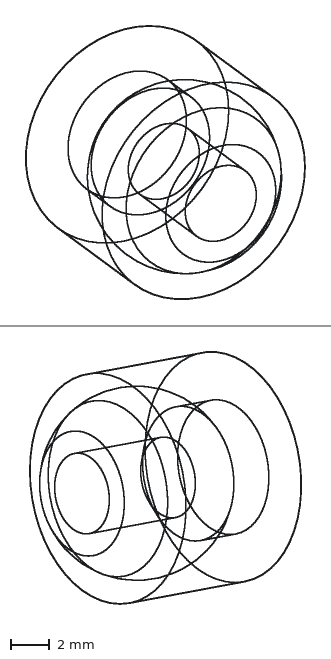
import cadquery as cq
import math

HOUSING_RADIUS = 6.0
HOUSING_LENGTH = 8.0
BORE_RADIUS = 3.5
BALL_RADIUS = 5.0
BALL_CENTRE_X = 6.0
BALL_NOSE_X = 9.8
HOLE_RADIUS = 2.1
COUNTERSINK_HALF_ANGLE = 45.0

AXIS_START = (0, 0)
AXIS_END = (1, 0)


def axial_reach(radius):
    """Distance along X from the ball centre to its circle of the given radius."""
    return math.sqrt(BALL_RADIUS**2 - radius**2)


seat_start_x = BALL_CENTRE_X - axial_reach(BORE_RADIUS)
seat_mouth_radius = axial_reach(HOUSING_LENGTH - BALL_CENTRE_X)
nose_radius = axial_reach(BALL_NOSE_X - BALL_CENTRE_X)
ball_top = (BALL_CENTRE_X, BALL_RADIUS)


def make_housing():
    """Cylindrical sleeve with a back bore that opens into a spherical seat."""
    profile = (
        cq.Workplane("XY")
        .moveTo(0, BORE_RADIUS)
        .lineTo(seat_start_x, BORE_RADIUS)
        .threePointArc(ball_top, (HOUSING_LENGTH, seat_mouth_radius))
        .lineTo(HOUSING_LENGTH, HOUSING_RADIUS)
        .lineTo(0, HOUSING_RADIUS)
        .close()
    )
    return profile.revolve(360, AXIS_START, AXIS_END)


def make_ball():
    """Ball with a flat nose, a through hole and a countersink facing the bore."""
    countersink_depth = (BORE_RADIUS - HOLE_RADIUS) / math.tan(math.radians(COUNTERSINK_HALF_ANGLE))
    profile = (
        cq.Workplane("XY")
        .moveTo(seat_start_x, BORE_RADIUS)
        .threePointArc(ball_top, (BALL_NOSE_X, nose_radius))
        .lineTo(BALL_NOSE_X, HOLE_RADIUS)
        .lineTo(seat_start_x + countersink_depth, HOLE_RADIUS)
        .close()
    )
    return profile.revolve(360, AXIS_START, AXIS_END)


housing = make_housing()
ball = make_ball()

result = cq.Compound.makeCompound([housing.val(), ball.val()])